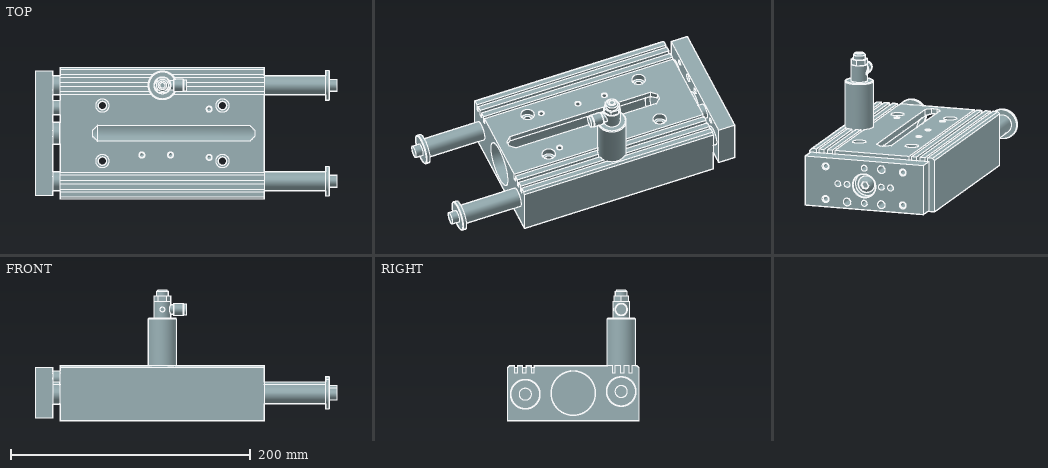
import cadquery as cq
TOTAL_LENGTH = 251.5

PLATE_THICKNESS = 14.5
PLATE_WIDTH = 104.0
PLATE_HEIGHT = 42.3
PLATE_BOTTOM = 2.3
PLATE_HOLE_DIA = 5.0
DOWEL_HOLE_DIA = 6.5
THREAD_HOLE_DIA = 4.5
THREAD_MOUTH_DIA = 6.0
THREAD_MOUTH_DEPTH = 0.8
HOLE_PITCH = 15.0
OUTER_HOLE_Y = 23.1
THREAD_Y = 34.0
THREAD_Z = 14.0

RECESS_DIA = 19.5
RECESS_DEPTH = 6.5
RECESS_CHAMFER = 0.5
HEAD_DIA = 14.0
HEAD_HEIGHT = 5.0
HEAD_ROUND = 4.3
SOCKET_ACROSS_CORNERS = 6.5
SOCKET_DEPTH = 2.5

BLOCK_START = 20.5
BLOCK_LENGTH = 170.3
BLOCK_END = BLOCK_START + BLOCK_LENGTH
BLOCK_WIDTH = 110.0
BLOCK_HEIGHT = 46.0
BLOCK_CHAMFER = 1.8
AXIS_Z = BLOCK_HEIGHT / 2

BORE_DIA = 37.2
BORE_START = 51.8
FRONT_SEAT_DIA = 36.7
SLOT_START = 47.5
SLOT_END = 183.0
SLOT_WIDTH = 13.0
SLOT_CORNER = 4.3
SLOT_DEPTH = BLOCK_HEIGHT - AXIS_Z - ((BORE_DIA / 2) ** 2 - (SLOT_WIDTH / 2) ** 2) ** 0.5

GROOVES = [(33.7, 2.3), (40.7, 3.0), (47.8, 2.3)]
GROOVE_DEPTH = 6.0

MOUNT_X = [55.8, 156.0]
MOUNT_Y = 23.1
MOUNT_DIA = 6.8
MOUNT_BORE_DIA = 11.0
MOUNT_BORE_DEPTH = 6.5
TAPPED_POINTS = [(88.8, -18.0), (112.7, -18.0), (144.9, 20.0), (144.9, -20.0)]
TAPPED_DIA = 4.0
TAPPED_MOUTH_DIA = 5.0
TAPPED_DEPTH = 7.5
TAPPED_TIP = 1.3

ROD_Y = 40.0
GUIDE_RODS = [(-ROD_Y, 22.1), (ROD_Y, 24.5)]
ROD_DIA = 16.0
FLANGE_START = 242.0
FLANGE_THICKNESS = 3.3
FLANGE_DIA = 25.0
FLANGE_CHAMFER = 0.5
STUB_DIA = 10.0

GAP = BLOCK_START - PLATE_THICKNESS
COLLAR_DIA = 18.5
COLLAR_CHAMFER = 0.8
PIN_DIA = 12.0
PIN_Y = 21.5
PIN_Z = 35.5

TOWER_X = 106.0
TOWER_Y = ROD_Y
TOWER_DIA = 24.0
TOWER_TOP = 85.5
TOWER_CHAMFER = 0.8
NECK_DIA = 14.0
HEX_BOTTOM = 99.5
HEX_TOP = 104.0
HEX_CORNERS = 14.0
CAP_DIA = 10.0
CAP_TOP = 109.2
CAP_CHAMFER = 1.5
CAP_HOLE_DIA = 4.5
CAP_HOLE_DEPTH = 0.5
ELBOW_Z = 92.8
ELBOW_NECK_DIA = 8.0
ELBOW_START = 115.0
ELBOW_END = 126.0
ELBOW_DIA = 10.3
ELBOW_CHAMFER = 0.5
ELBOW_RING = 2.3
PORT_DIA = 4.0
PORT_DEPTH = 1.5


def rod_x(x, y, z, dia, length):
    """Cylinder that starts at (x, y, z) and runs along +X."""
    return cq.Workplane("YZ", origin=(x, y, z)).circle(dia / 2).extrude(length)


def cone_x(y, z, mouth_dia, inner_dia, depth):
    """Cone that narrows along +X from the front face of the plate."""
    return cq.Workplane(
        cq.Solid.makeCone(mouth_dia / 2, inner_dia / 2, depth, pnt=cq.Vector(0, y, z), dir=cq.Vector(1, 0, 0))
    )


def rod_z(x, y, z, dia, height):
    """Cylinder that starts at (x, y, z) and runs along +Z."""
    return cq.Workplane("XY", origin=(x, y, z)).circle(dia / 2).extrude(height)


def make_block():
    block = (
        cq.Workplane("XY", origin=(BLOCK_START, 0, 0))
        .box(BLOCK_LENGTH, BLOCK_WIDTH, BLOCK_HEIGHT, centered=(False, True, False))
        .edges("|X and >Z")
        .chamfer(BLOCK_CHAMFER)
    )
    for offset, width in GROOVES:
        for side in (-1, 1):
            groove = cq.Workplane("XY", origin=(BLOCK_START, side * offset, BLOCK_HEIGHT - GROOVE_DEPTH)).box(
                BLOCK_LENGTH, width, GROOVE_DEPTH, centered=(False, True, False)
            )
            block = block.cut(groove)
    return block


def cut_bore_and_slot(block):
    block = block.cut(rod_x(BORE_START, 0, AXIS_Z, BORE_DIA, BLOCK_END - BORE_START))
    block = block.cut(rod_x(SLOT_START, 0, AXIS_Z, FRONT_SEAT_DIA, BORE_START - SLOT_START))
    slot_length = SLOT_END - SLOT_START
    slot = (
        cq.Workplane("XY", origin=(SLOT_START, 0, BLOCK_HEIGHT - SLOT_DEPTH))
        .box(slot_length, SLOT_WIDTH, SLOT_DEPTH, centered=(False, True, False))
        .edges("|Z")
        .chamfer(SLOT_CORNER)
    )
    return block.cut(slot)


def cut_mounting_holes(block):
    points = [(x, side * MOUNT_Y) for x in MOUNT_X for side in (-1, 1)]
    return (
        block.faces(">Z")
        .workplane(origin=(0, 0, BLOCK_HEIGHT))
        .pushPoints(points)
        .cboreHole(MOUNT_DIA, MOUNT_BORE_DIA, MOUNT_BORE_DEPTH)
    )


def tapped_hole_cutter(x, y):
    """Blind hole with a bevelled mouth and a cone-shaped bottom."""
    radius = TAPPED_DIA / 2
    mouth = TAPPED_MOUTH_DIA / 2
    profile = [
        (0, 0),
        (mouth, 0),
        (radius, radius - mouth),
        (radius, -TAPPED_DEPTH),
        (0, -TAPPED_DEPTH - TAPPED_TIP),
    ]
    cutter = cq.Workplane("XZ").polyline(profile).close().revolve(360, (0, 0), (0, 1))
    return cutter.translate((x, y, BLOCK_HEIGHT))


def make_tower():
    base = BLOCK_HEIGHT - GROOVE_DEPTH
    tower = rod_z(TOWER_X, TOWER_Y, base, TOWER_DIA, TOWER_TOP - base).faces(">Z").chamfer(TOWER_CHAMFER)
    neck = rod_z(TOWER_X, TOWER_Y, TOWER_TOP, NECK_DIA, HEX_BOTTOM - TOWER_TOP)
    hexagon = (
        cq.Workplane("XY", origin=(TOWER_X, TOWER_Y, HEX_BOTTOM))
        .polygon(6, HEX_CORNERS)
        .extrude(HEX_TOP - HEX_BOTTOM)
    )
    cap = rod_z(TOWER_X, TOWER_Y, HEX_TOP, CAP_DIA, CAP_TOP - HEX_TOP).faces(">Z").chamfer(CAP_CHAMFER)
    cap_hole = rod_z(TOWER_X, TOWER_Y, CAP_TOP - CAP_HOLE_DEPTH, CAP_HOLE_DIA, CAP_HOLE_DEPTH)
    port = cq.Workplane("XZ", origin=(TOWER_X, TOWER_Y - NECK_DIA / 2 + PORT_DEPTH, ELBOW_Z)).circle(PORT_DIA / 2)
    tower = tower.union(neck).union(hexagon).union(cap)
    return tower.union(make_elbow()).cut(cap_hole).cut(port.extrude(NECK_DIA))


def make_elbow():
    neck = rod_x(TOWER_X, TOWER_Y, ELBOW_Z, ELBOW_NECK_DIA, ELBOW_START - TOWER_X)
    body_length = ELBOW_END - ELBOW_RING - ELBOW_START
    body = rod_x(ELBOW_START, TOWER_Y, ELBOW_Z, ELBOW_DIA, body_length).edges().chamfer(ELBOW_CHAMFER)
    ring_dia = ELBOW_DIA - 2 * ELBOW_CHAMFER
    ring = rod_x(ELBOW_END - ELBOW_RING, TOWER_Y, ELBOW_Z, ring_dia, ELBOW_RING)
    return neck.union(body).union(ring)


def make_housing():
    housing = cut_mounting_holes(cut_bore_and_slot(make_block()))
    for x, y in TAPPED_POINTS:
        housing = housing.cut(tapped_hole_cutter(x, y))
    housing = housing.union(make_tower())
    for y, z in GUIDE_RODS:
        housing = housing.cut(rod_x(BLOCK_START, y, z, ROD_DIA, BLOCK_LENGTH))
    return housing


def make_plate():
    return cq.Workplane("XY", origin=(0, 0, PLATE_BOTTOM)).box(
        PLATE_THICKNESS, PLATE_WIDTH, PLATE_HEIGHT, centered=(False, True, False)
    )


def cut_plate_holes(plate):
    plain = [(0, HOLE_PITCH), (0, -HOLE_PITCH)]
    for side in (-1, 1):
        plain += [(side * HOLE_PITCH, 0), (side * OUTER_HOLE_Y, 0)]
    dowels = [(-HOLE_PITCH, HOLE_PITCH), (HOLE_PITCH, -HOLE_PITCH), (-HOLE_PITCH, -HOLE_PITCH)]
    threads = [(sy * THREAD_Y, sz * THREAD_Z) for sy in (-1, 1) for sz in (-1, 1)]
    for points, dia in ((plain, PLATE_HOLE_DIA), (dowels, DOWEL_HOLE_DIA), (threads, THREAD_HOLE_DIA)):
        for y, z in points:
            plate = plate.cut(rod_x(0, y, AXIS_Z + z, dia, PLATE_THICKNESS))
    for y, z in threads:
        plate = plate.cut(cone_x(y, AXIS_Z + z, THREAD_MOUTH_DIA, THREAD_HOLE_DIA, THREAD_MOUTH_DEPTH))
    return plate


def add_centre_screw(plate):
    recess = rod_x(0, 0, AXIS_Z, RECESS_DIA, RECESS_DEPTH)
    rim = cone_x(0, AXIS_Z, RECESS_DIA + 2 * RECESS_CHAMFER, RECESS_DIA, RECESS_CHAMFER)
    head = rod_x(RECESS_DEPTH - HEAD_HEIGHT, 0, AXIS_Z, HEAD_DIA, HEAD_HEIGHT)
    head = head.faces("<X").edges().fillet(HEAD_ROUND)
    socket = (
        cq.Workplane("YZ", origin=(RECESS_DEPTH - HEAD_HEIGHT, 0, AXIS_Z))
        .polygon(6, SOCKET_ACROSS_CORNERS)
        .extrude(SOCKET_DEPTH)
    )
    return plate.cut(recess).cut(rim).union(head).cut(socket)


def make_guide_rod(y, z):
    rod = rod_x(PLATE_THICKNESS, y, z, ROD_DIA, FLANGE_START - PLATE_THICKNESS)
    flange = rod_x(FLANGE_START, y, z, FLANGE_DIA, FLANGE_THICKNESS).faces(">X").chamfer(FLANGE_CHAMFER)
    stub_start = FLANGE_START + FLANGE_THICKNESS
    stub = rod_x(stub_start, y, z, STUB_DIA, TOTAL_LENGTH - stub_start)
    return rod.union(flange).union(stub)


def make_carriage():
    carriage = add_centre_screw(cut_plate_holes(make_plate()))
    collar = rod_x(PLATE_THICKNESS, 0, AXIS_Z, COLLAR_DIA, GAP).faces(">X").chamfer(COLLAR_CHAMFER)
    pin = rod_x(PLATE_THICKNESS, PIN_Y, PIN_Z, PIN_DIA, GAP)
    carriage = carriage.union(collar).union(pin)
    for y, z in GUIDE_RODS:
        carriage = carriage.union(make_guide_rod(y, z))
    return carriage


housing = make_housing()
carriage = make_carriage()
result = cq.Compound.makeCompound([housing.val(), carriage.val()])